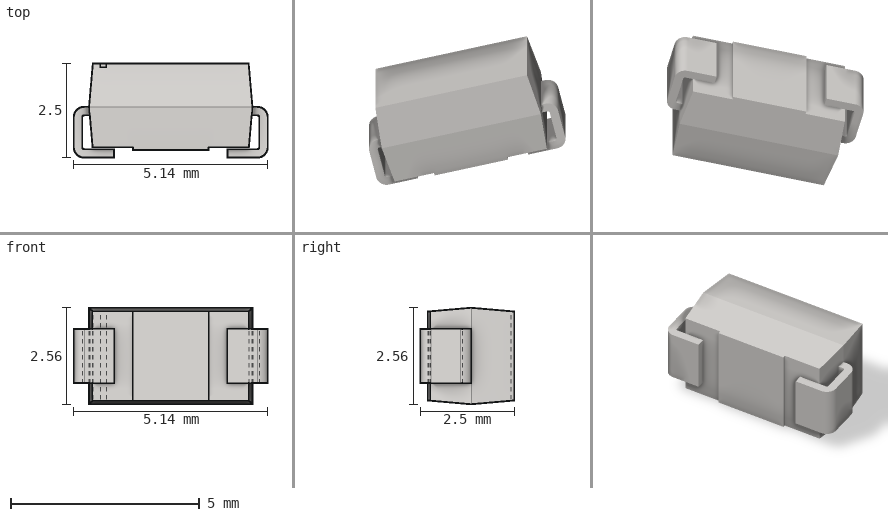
import cadquery as cq
import math


housing_length = 4.33
housing_height = 2.56
half_depth = 1.15
draft_angle = 5.0
pad_width = 2.0
pad_rise = 0.075

lead_span = 5.14
lead_width = 1.43
lead_thickness = 0.23
lead_drop = 1.35
foot_length = 1.07
bend_outer_radius = 0.28
bend_inner_radius = bend_outer_radius - lead_thickness

band_width = 0.16
band_depth = 0.1
band_inset = 0.195

draft_shrink = half_depth * math.tan(math.radians(draft_angle))
face_half_length = housing_length / 2 - draft_shrink
band_x = -face_half_length + band_inset + band_width / 2


def make_box(size, center):
    return cq.Workplane("XY").box(*size).translate(center)


def make_blank():
    """Two drafted halves that meet at the parting plane."""
    outline = cq.Workplane("XZ").rect(housing_length, housing_height)
    mounting_half = outline.extrude(half_depth, taper=draft_angle)
    return mounting_half.union(mounting_half.mirror("XZ"))


def make_side_step(side):
    """Tool that lowers the mounting face from the pad outwards; side is -1 or 1."""
    step_length = (housing_length - pad_width) / 2
    step_x = side * (pad_width + step_length) / 2
    step_y = -half_depth + pad_rise / 2
    return make_box((step_length, pad_rise, housing_height), (step_x, step_y, 0))


def make_band(blank):
    """Full-height strip, flush with the face and the drafted sides of the blank."""
    strip = make_box(
        (band_width, band_depth, housing_height),
        (band_x, half_depth - band_depth / 2, 0),
    )
    return strip.intersect(blank)


def make_housing(blank, band):
    housing = blank.cut(band)
    for side in (-1, 1):
        housing = housing.cut(make_side_step(side))
    return housing


def make_lead(housing, side):
    """C-shaped strip that ends on the drafted end of the housing; side is -1 or 1."""
    outer_x = lead_span / 2
    inner_x = outer_x - lead_thickness
    foot_end_x = outer_x - foot_length
    foot_top_y = -lead_drop + lead_thickness
    root_x = face_half_length
    outline = (
        cq.Workplane("XY")
        .moveTo(root_x, 0)
        .lineTo(outer_x - bend_outer_radius, 0)
        .radiusArc((outer_x, -bend_outer_radius), bend_outer_radius)
        .lineTo(outer_x, -lead_drop + bend_outer_radius)
        .radiusArc((outer_x - bend_outer_radius, -lead_drop), bend_outer_radius)
        .lineTo(foot_end_x, -lead_drop)
        .lineTo(foot_end_x, foot_top_y)
        .lineTo(inner_x - bend_inner_radius, foot_top_y)
        .radiusArc((inner_x, foot_top_y + bend_inner_radius), -bend_inner_radius)
        .lineTo(inner_x, -lead_thickness - bend_inner_radius)
        .radiusArc((inner_x - bend_inner_radius, -lead_thickness), -bend_inner_radius)
        .lineTo(root_x, -lead_thickness)
        .close()
    )
    lead = outline.extrude(lead_width / 2, both=True)
    if side < 0:
        lead = lead.mirror("YZ")
    return lead.cut(housing)


blank = make_blank()
band = make_band(blank)
housing = make_housing(blank, band)
leads = [make_lead(housing, side) for side in (-1, 1)]

bodies = [housing, band, *leads]
result = cq.Compound.makeCompound([body.solids().val() for body in bodies])